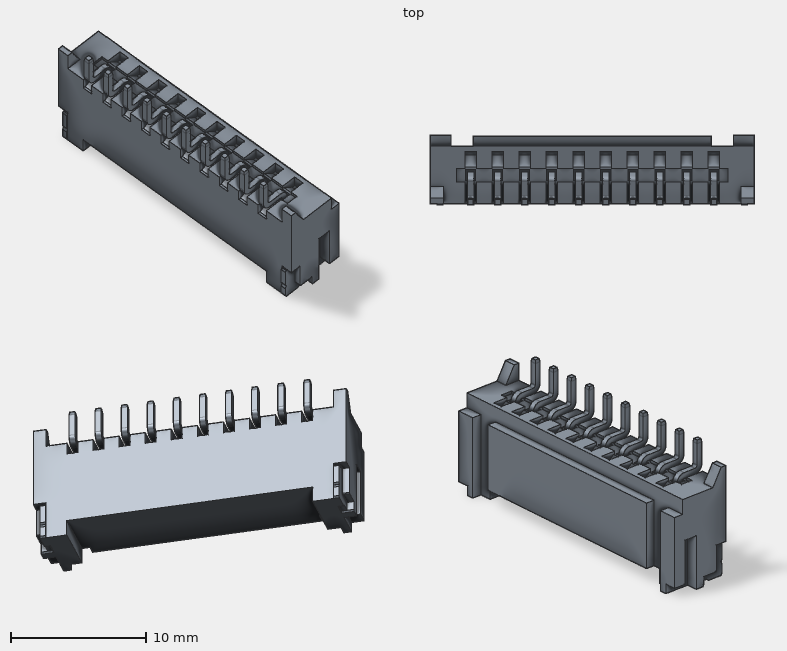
import cadquery as cq
import math

length = 24.0
half_length = length / 2
depth = 5.1
top_z = 7.85
post_top_z = 9.26
ledge_z = 6.62
ledge_depth = 0.82
ledge_y = depth - ledge_depth

post_width = 0.98
post_top_depth = 0.45
post_foot_depth = 1.3

rear_bar_half = 8.8
rear_bar_setback = 0.07
rear_lug_inner_x = 10.45
bottom_opening_half = 9.43
bottom_opening_height = 1.22

end_recess = 0.95
guide_front_y = 2.93
guide_rear_y = 4.05
guide_height = 4.42
rear_foot_z = 0.8

pin_count = 10
pin_span = 18.0
pitch = pin_span / (pin_count - 1)
pin_size = 0.48
pin_protrusion = 0.1
pin_top_z = 10.45
pin_bar_top_z = 8.2
pin_tip_length = 0.26
pin_tip_inset = 0.05
pin_rear_y = 2.38
pin_bend_radius = 0.7
pin_inner_radius = pin_bend_radius - pin_size

groove_front_y = 1.6
groove_rear_y = 2.62
groove_half = 10.03
groove_floor_z = 7.6
slot_width = 0.85
slot_floor_z = 6.94
front_floor_depth = 0.2
front_ramp_top_y = 1.46
rear_ramp_top_y = 2.74
rear_ramp_foot_y = 3.62
rear_slot_y = 3.9
pin_hole_width = 0.75
pin_hole_front_y = 1.73
pin_hole_rear_y = 2.55

clip_pocket_depth = 0.95
clip_thickness = 0.43
clip_height = 3.0
clip_depth = 0.9
clip_leg_depth = 2.18
clip_leg_height = 0.82
clip_bevel = 0.07
clip_bottom_gap = 0.15
clip_step_height = 0.15
clip_step_depth = 0.45
clip_leg_bottom_y = 1.25
clip_groove_top_z = 1.3
clip_groove_mid_z = 1.15
clip_groove_bottom_z = 0.9


def box(x_range, y_range, z_range):
    """Axis-aligned block between the given limits."""
    size = [high - low for low, high in (x_range, y_range, z_range)]
    corner = (x_range[0], y_range[0], z_range[0])
    return cq.Workplane("XY").box(*size, centered=False).translate(corner)


def side_prism(points, x_start, width):
    """Prism along X from a (y, z) outline."""
    return cq.Workplane("YZ").polyline(points).close().extrude(width).translate((x_start, 0, 0))


def both_ends(solid):
    """The solid together with its mirror image across the middle of the row."""
    return solid.union(solid.mirror("YZ"))


def make_housing():
    """Stepped block with posts, an interrupted rear ledge and an open middle underneath."""
    body = box((-half_length, half_length), (0, ledge_y), (0, top_z))
    rear_bar = box((-rear_bar_half, rear_bar_half), (ledge_y, depth - rear_bar_setback), (0, ledge_z))
    lug = box((-half_length, -rear_lug_inner_x), (ledge_y, depth), (0, ledge_z))
    post_outline = [
        (0, top_z),
        (post_foot_depth, top_z),
        (post_top_depth, post_top_z),
        (0, post_top_z),
    ]
    post = side_prism(post_outline, -half_length, post_width)
    opening = box((-bottom_opening_half, bottom_opening_half), (0, depth), (0, bottom_opening_height))
    return body.union(rear_bar).union(both_ends(lug)).union(both_ends(post)).cut(opening)


def make_end_recess():
    """Guide slot in the left end face, with the foot behind it cut short."""
    recess_x = (-half_length, -half_length + end_recess)
    guide = box(recess_x, (guide_front_y, guide_rear_y), (0, guide_height))
    short_foot = box(recess_x, (guide_rear_y, depth), (0, rear_foot_z))
    return guide.union(short_foot)


def make_slot(x):
    """Ramped front and rear slots and the pin hole at one pin position."""
    outline = [
        (0, slot_floor_z),
        (front_floor_depth, slot_floor_z),
        (front_ramp_top_y, groove_floor_z),
        (rear_ramp_top_y, groove_floor_z),
        (rear_ramp_foot_y, slot_floor_z),
        (rear_slot_y, slot_floor_z),
        (rear_slot_y, top_z),
        (0, top_z),
    ]
    slot = side_prism(outline, x - slot_width / 2, slot_width)
    hole_x = (x - pin_hole_width / 2, x + pin_hole_width / 2)
    hole = box(hole_x, (pin_hole_front_y, pin_hole_rear_y), (slot_floor_z, top_z))
    return slot.union(hole)


def make_pin(x):
    """Square pin: up at the front, back along the groove, then down into the housing."""
    front_y = -pin_protrusion
    upright_back_y = front_y + pin_size
    bar_bottom_z = pin_bar_top_z - pin_size
    shank_front_y = pin_rear_y - pin_size
    shoulder_z = pin_top_z - pin_tip_length
    foot_z = slot_floor_z - pin_size
    outer = pin_bend_radius
    inner = pin_inner_radius
    outer_mid = outer * (1 - math.sqrt(0.5))
    inner_mid = inner * (1 - math.sqrt(0.5))
    pin = (
        cq.Workplane("YZ")
        .moveTo(front_y, shoulder_z)
        .lineTo(front_y, bar_bottom_z + outer)
        .threePointArc((front_y + outer_mid, bar_bottom_z + outer_mid), (front_y + outer, bar_bottom_z))
        .lineTo(shank_front_y - inner, bar_bottom_z)
        .threePointArc(
            (shank_front_y - inner_mid, bar_bottom_z - inner_mid), (shank_front_y, bar_bottom_z - inner)
        )
        .lineTo(shank_front_y, foot_z)
        .lineTo(pin_rear_y, foot_z)
        .lineTo(pin_rear_y, pin_bar_top_z - outer)
        .threePointArc(
            (pin_rear_y - outer_mid, pin_bar_top_z - outer_mid), (pin_rear_y - outer, pin_bar_top_z)
        )
        .lineTo(upright_back_y + inner, pin_bar_top_z)
        .threePointArc(
            (upright_back_y + inner_mid, pin_bar_top_z + inner_mid), (upright_back_y, pin_bar_top_z + inner)
        )
        .lineTo(upright_back_y, shoulder_z)
        .close()
        .extrude(pin_size / 2, both=True)
    )
    tip_end = pin_size - 2 * pin_tip_inset
    tip = (
        cq.Workplane("XY", origin=(0, front_y + pin_size / 2, shoulder_z))
        .rect(pin_size, pin_size)
        .workplane(offset=pin_tip_length)
        .rect(tip_end, tip_end)
        .loft(ruled=True)
    )
    return pin.union(tip).translate((x, 0, 0))


def make_clip_pocket():
    """L-shaped pocket in the lower front corner of the left end."""
    outline = [
        (0, 0),
        (clip_leg_depth + clip_bevel, 0),
        (clip_leg_depth, clip_bottom_gap),
        (clip_leg_depth, clip_leg_height),
        (clip_depth + clip_bevel, clip_leg_height),
        (clip_depth, clip_leg_height + clip_bevel),
        (clip_depth, clip_height),
        (0, clip_height),
    ]
    return side_prism(outline, -half_length, clip_pocket_depth)


def make_clip():
    """L-shaped metal clip seated on the floor of the left pocket."""
    front_y = -pin_protrusion
    step_z = clip_height - clip_step_height
    outline = [
        (0, 0),
        (clip_leg_bottom_y, 0),
        (clip_leg_bottom_y + clip_bottom_gap, clip_bottom_gap),
        (clip_leg_depth, clip_bottom_gap),
        (clip_leg_depth, clip_leg_height),
        (clip_depth + clip_bevel, clip_leg_height),
        (clip_depth, clip_leg_height + clip_bevel),
        (clip_depth, clip_height),
        (clip_step_depth, clip_height),
        (clip_step_depth, step_z),
        (0, step_z),
        (front_y, step_z - clip_step_height),
        (front_y, clip_groove_top_z),
        (0, clip_groove_mid_z),
        (front_y, clip_groove_bottom_z),
        (front_y, clip_bottom_gap),
    ]
    return side_prism(outline, -half_length + clip_pocket_depth - clip_thickness, clip_thickness)


def make_groove():
    """Shallow trough running along the row, crossed by all the pins."""
    return box((-groove_half, groove_half), (groove_front_y, groove_rear_y), (groove_floor_z, top_z))


result = make_housing()
result = result.cut(both_ends(make_end_recess()))
result = result.cut(both_ends(make_clip_pocket()))
result = result.union(both_ends(make_clip()))
result = result.cut(make_groove())
for index in range(pin_count):
    pin_x = index * pitch - pin_span / 2
    result = result.cut(make_slot(pin_x)).union(make_pin(pin_x))